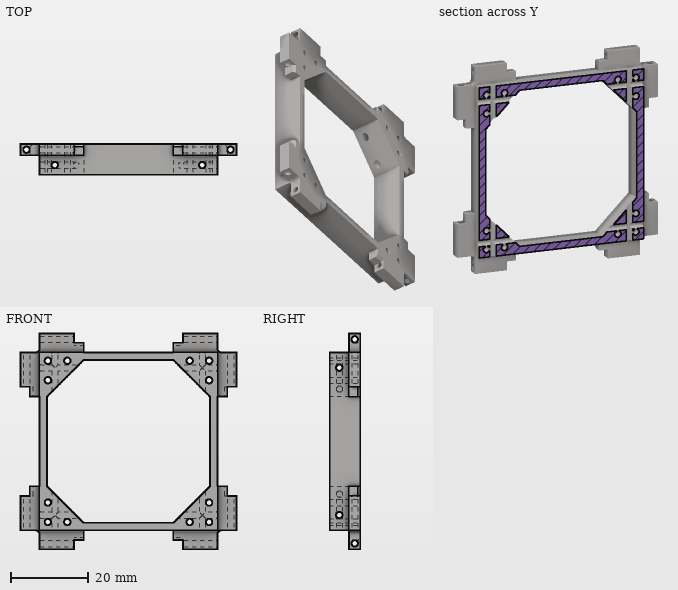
import cadquery as cq
import math

overall_size = 55.8
depth = 8.0
back_y = depth / 2
front_y = -depth / 2

tab_height = 4.9
frame_size = overall_size - 2 * tab_height
wall = 2.0
opening_size = frame_size - 2 * wall
opening_chamfer = 9.4

tab_thickness = 2.95
tab_length = 11.45
step_length = 2.5
step_height = 2.5
step_chamfer = 0.7
corner_fillet = 1.0

hole_diameter = 1.6
corner_hole_inset = 2.2
corner_hole_spacing = 5.0
wall_hole_inset = 3.95
wall_hole_from_front = 2.5
tab_hole_from_tip = 1.55

half_size = overall_size / 2
half_frame = frame_size / 2


def make_frame():
    """Square frame whose chamfered opening leaves a gusset in every corner."""
    opening = (
        cq.Workplane("XY")
        .box(opening_size, depth, opening_size)
        .edges("|Y")
        .chamfer(opening_chamfer)
    )
    return cq.Workplane("XY").box(frame_size, depth, frame_size).cut(opening)


def make_top_tab():
    """Tab on the top wall at the +X corner, rooted in the wall, its step facing the middle."""
    tab_start = half_frame - tab_length
    step_end = tab_start + step_length
    tab_front = back_y - tab_thickness
    root = half_frame - wall
    tall_block = (
        cq.Workplane("XY")
        .box(tab_length - step_length, tab_thickness, tab_height + wall, centered=False)
        .translate((step_end, tab_front, root))
    )
    step_block = (
        cq.Workplane("XY")
        .box(step_length, tab_thickness, step_height + wall, centered=False)
        .translate((tab_start, tab_front, root))
        .edges(">Y and >Z")
        .chamfer(step_chamfer)
    )
    return tall_block.union(step_block)


def make_corner_fillet():
    """Concave web filling the notch between the two tabs of the +X +Z corner."""
    root = half_frame - wall
    far = half_frame + corner_fillet
    arc_mid = far - corner_fillet / math.sqrt(2)
    return (
        cq.Workplane("XZ", origin=(0, back_y, 0))
        .moveTo(root, root)
        .lineTo(far, root)
        .lineTo(far, half_frame)
        .threePointArc((arc_mid, arc_mid), (half_frame, far))
        .lineTo(root, far)
        .close()
        .extrude(tab_thickness)
    )


def four_corners(body):
    """Repeat a +X +Z corner body, mirrored, at all four corners."""
    right_half = body.union(body.mirror("XY"))
    return right_half.union(right_half.mirror("YZ"))


def swap_x_and_z(body):
    """Turn and mirror a body so that its X and Z directions trade places."""
    return body.rotate((0, 0, 0), (0, 1, 0), 90).mirror("XY")


def hole_cutters(plane, points):
    """Round cutters through the whole part, normal to the given plane."""
    return (
        cq.Workplane(plane)
        .pushPoints(points)
        .circle(hole_diameter / 2)
        .extrude(half_size, both=True)
    )


def mirrored_points(across, along):
    """The same point mirrored into all four quadrants."""
    return [(i * across, j * along) for i in (-1, 1) for j in (-1, 1)]


top_tab = make_top_tab()
corner_body = top_tab.union(swap_x_and_z(top_tab)).union(make_corner_fillet())
result = make_frame().union(four_corners(corner_body))

near = half_frame - corner_hole_inset
inner = near - corner_hole_spacing
gusset_points = mirrored_points(near, near) + mirrored_points(near, inner) + mirrored_points(inner, near)
result = result.cut(hole_cutters("XZ", gusset_points))

wall_hole_side = half_frame - wall_hole_inset
wall_hole_y = front_y + wall_hole_from_front
tab_hole_side = half_size - tab_hole_from_tip
tab_hole_y = back_y - tab_thickness / 2
z_hole_points = [
    (side * offset, y)
    for side in (-1, 1)
    for offset, y in ((wall_hole_side, wall_hole_y), (tab_hole_side, tab_hole_y))
]
z_holes = hole_cutters("XY", z_hole_points)
result = result.cut(z_holes).cut(swap_x_and_z(z_holes))